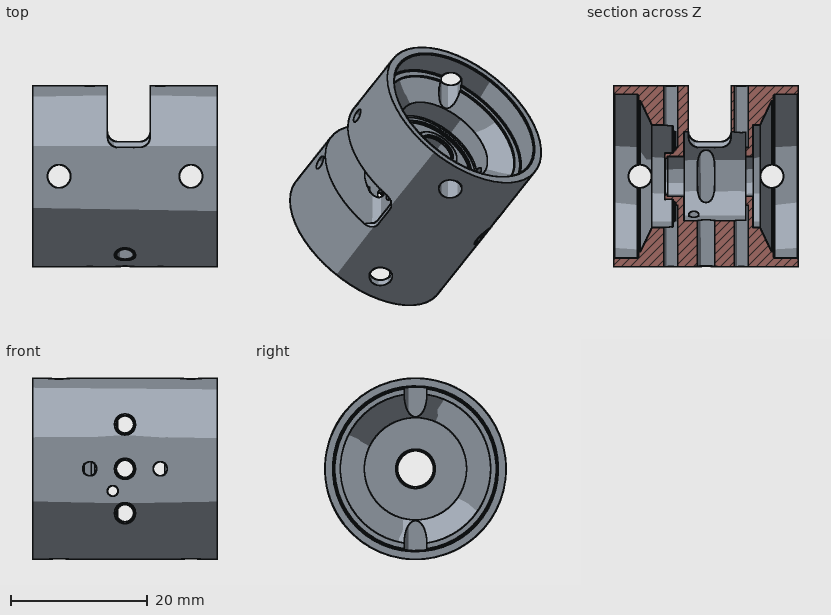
import cadquery as cq

length = 27.0
outer_radius = 13.25
middle = length / 2

mouth_radius = 12.12
bore_bevel = 0.15
bore_radius = mouth_radius - bore_bevel
bore_depth = 3.65
cone_mouth_radius = 11.0
cone_mouth_depth = 3.92
well_radius = 7.48
cone_end_depth = 5.6

ledge_depth = 8.75
ledge_bevel = 0.2
recess_radius = 6.72
recess_bevel = 0.15
floor_depth = 9.1

hub_radius = 3.43
hub_tip_depth = 7.45
hub_tip_bevel = 0.08
hub_foot_radius = 4.05
hub_foot_height = 0.5

axle_lip_radius = 2.62
axle_lip_bevel = 0.1
axle_lip_length = 0.43
axle_radius = 2.9

chamber_radius = 6.48
chamber_start = 10.31
chamber_end = 19.3
end_wall_thickness = 1.08

rim_hole_diameter = 3.35
rim_hole_inset = 3.85

side_hole_diameter = 2.02
side_hole_inset = 8.35
side_hole_stop = 4.25

face_hole_diameter = 2.5
face_hole_spacing = 6.48
face_mouth_diameter = 3.08
face_mouth_depth = 0.08
pilot_diameter = 1.5
pilot_offset_x = -1.78
pilot_offset_z = -3.25

slot_start = 10.94
slot_end = 17.17
slot_floor = 4.25
slot_corner_radius = 1.48
ramp_width = 0.85
ramp_height = 0.68
ramp_top = -10.53


def revolve_about_x(outline):
    """Solid of revolution from (x, radius) points."""
    return cq.Workplane("XY").polyline(outline).close().revolve(360, (0, 0, 0), (1, 0, 0))


def mouth_outline():
    """Points (depth, radius) from the end face inward to the bottom of the cone."""
    return [
        (0, 0),
        (0, mouth_radius),
        (bore_bevel, bore_radius),
        (bore_depth - bore_bevel, bore_radius),
        (bore_depth, bore_radius - bore_bevel),
        (bore_depth, cone_mouth_radius),
        (cone_mouth_depth, cone_mouth_radius),
        (cone_end_depth, well_radius),
    ]


def hub_opening():
    """Hollow of the -X end, shaped around the ledge and the hub."""
    floor_edge_radius = recess_radius - recess_bevel
    return revolve_about_x(
        mouth_outline()
        + [
            (ledge_depth - ledge_bevel, well_radius),
            (ledge_depth, well_radius - ledge_bevel),
            (ledge_depth, recess_radius),
            (ledge_depth + recess_bevel, floor_edge_radius),
            (floor_depth, floor_edge_radius),
            (floor_depth, hub_foot_radius),
            (floor_depth - hub_foot_height, hub_radius),
            (hub_tip_depth + hub_tip_bevel, hub_radius),
            (hub_tip_depth, hub_radius - hub_tip_bevel),
            (hub_tip_depth, 0),
        ]
    )


def plain_opening():
    """Hollow of the other end: the same mouth with a flat floor."""
    plain_depth = length - chamber_end - end_wall_thickness
    return revolve_about_x(mouth_outline() + [(plain_depth, well_radius), (plain_depth, 0)])


def axle_bore():
    """Bore along X with a bevelled lip at the hub tip."""
    lip_end = hub_tip_depth + axle_lip_length
    return revolve_about_x(
        [
            (hub_tip_depth, 0),
            (hub_tip_depth, axle_lip_radius + axle_lip_bevel),
            (hub_tip_depth + axle_lip_bevel, axle_lip_radius),
            (lip_end, axle_lip_radius),
            (lip_end, axle_radius),
            (length, axle_radius),
            (length, 0),
        ]
    )


def rod_along_y(x, z, diameter, y_start, y_end):
    """Cylinder parallel to Y between two y positions."""
    rod = cq.Solid.makeCylinder(diameter / 2, y_end - y_start, cq.Vector(x, y_start, z), cq.Vector(0, 1, 0))
    return cq.Workplane(rod)


def face_hole(z):
    """Hole from the -Y skin to the slot, with a shallow mouth recess that follows the curved skin."""
    through = rod_along_y(middle, z, face_hole_diameter, -outer_radius, slot_floor)
    recess_floor = cq.Workplane("YZ").circle(outer_radius - face_mouth_depth).extrude(length)
    mouth = rod_along_y(middle, z, face_mouth_diameter, -outer_radius, 0).cut(recess_floor)
    return through.union(mouth)


def slot_face(floor_y, z):
    """Horizontal slot section with rounded floor corners, open toward +Y."""
    r = slot_corner_radius
    bend = r * (1 - 0.5**0.5)
    back_y = floor_y + outer_radius
    outline = (
        cq.Workplane("XY", origin=(0, 0, z))
        .moveTo(slot_start + r, floor_y)
        .lineTo(slot_end - r, floor_y)
        .threePointArc((slot_end - bend, floor_y + bend), (slot_end, floor_y + r))
        .lineTo(slot_end, back_y)
        .lineTo(slot_start, back_y)
        .lineTo(slot_start, floor_y + r)
        .threePointArc((slot_start + bend, floor_y + bend), (slot_start + r, floor_y))
        .close()
    )
    return cq.Face.makeFromWires(outline.val())


def slot():
    """Slot through the +Y side: upright above and below a sloping floor ramp."""
    ramp_bottom = ramp_top - ramp_height
    low_floor = slot_floor + ramp_width
    upper_face = slot_face(slot_floor, ramp_top)
    lower_face = slot_face(low_floor, ramp_bottom)
    upper = cq.Solid.extrudeLinear(upper_face, cq.Vector(0, 0, outer_radius - ramp_top))
    ramp = cq.Solid.extrudeLinear(upper_face, cq.Vector(0, ramp_width, -ramp_height))
    lower = cq.Solid.extrudeLinear(lower_face, cq.Vector(0, 0, -outer_radius - ramp_bottom))
    return cq.Workplane(upper).union(cq.Workplane(ramp)).union(cq.Workplane(lower))


body = cq.Workplane("YZ").circle(outer_radius).extrude(length)
body = body.cut(hub_opening())
body = body.cut(plain_opening().mirror("YZ", (middle, 0, 0)))
body = body.cut(axle_bore())

chamber = cq.Workplane("YZ", origin=(chamber_start, 0, 0)).circle(chamber_radius)
body = body.cut(chamber.extrude(chamber_end - chamber_start))

for x in (rim_hole_inset, length - rim_hole_inset):
    rim_hole = cq.Workplane("XY").center(x, 0).circle(rim_hole_diameter / 2)
    body = body.cut(rim_hole.extrude(outer_radius, both=True))

for x in (side_hole_inset, length - side_hole_inset):
    body = body.cut(rod_along_y(x, 0, side_hole_diameter, -outer_radius, -side_hole_stop))
    body = body.cut(rod_along_y(x, 0, side_hole_diameter, side_hole_stop, outer_radius))

for row in (-1, 0, 1):
    body = body.cut(face_hole(row * face_hole_spacing))

pilot_x = middle + pilot_offset_x
body = body.cut(rod_along_y(pilot_x, pilot_offset_z, pilot_diameter, -outer_radius, slot_floor))

body = body.cut(slot())

result = body